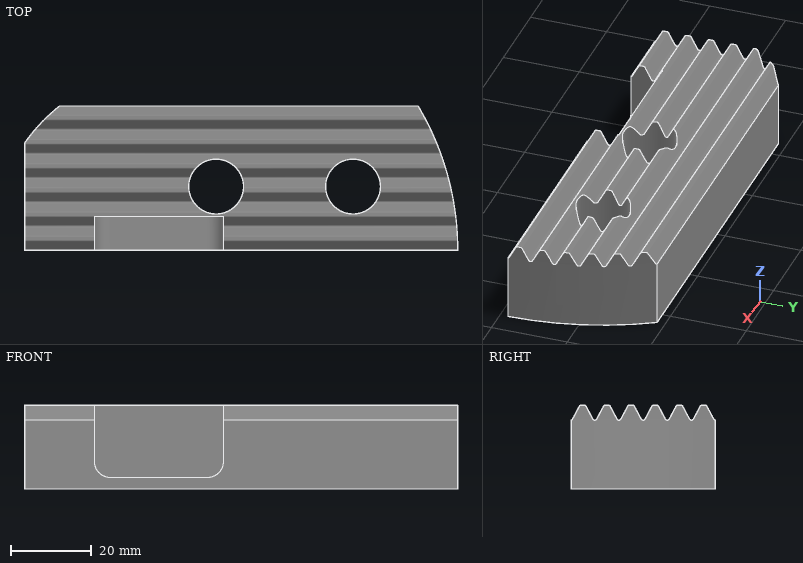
import cadquery as cq
import math

LENGTH = 107.5
WIDTH = 35.8
HEIGHT = 20.9

END_RADIUS = 70.0
END_CENTER_X = LENGTH - END_RADIUS
CORNER_RADIUS = 46.0

TOOTH_COUNT = 6
FRONT_OVERHANG = 0.13
BACK_OVERHANG = 0.06
TOOTH_PITCH = (FRONT_OVERHANG + WIDTH + BACK_OVERHANG) / TOOTH_COUNT
FLANK_ANGLE = math.radians(62)
CREST_WIDTH = 1.4
CREST_ROUND = 0.5
ROOT_ROUND = 0.5

HOLE_DIAMETER = 13.5
HOLE_FIRST_X = 47.5
HOLE_SPACING = 34.0
HOLE_COUNT = 2
HOLE_Y = 15.8

POCKET_X = 17.3
POCKET_LENGTH = 32.0
POCKET_DEPTH = 8.4
POCKET_FLOOR_Z = 2.9
POCKET_CORNER_RADIUS = 4.0


def point_on_circle(radius, angle):
    """Plan point at an angle around the common center of the end arcs."""
    return (END_CENTER_X + radius * math.cos(angle), radius * math.sin(angle))


def make_block():
    """Block with an arc-shaped right end and the back left corner cut by an arc."""
    end_angle = math.asin(WIDTH / END_RADIUS)
    corner_back_angle = math.pi - math.asin(WIDTH / CORNER_RADIUS)
    corner_left_angle = math.acos(-END_CENTER_X / CORNER_RADIUS)
    corner_mid_angle = (corner_back_angle + corner_left_angle) / 2
    return (
        cq.Workplane("XY")
        .lineTo(LENGTH, 0)
        .threePointArc(
            point_on_circle(END_RADIUS, end_angle / 2),
            point_on_circle(END_RADIUS, end_angle),
        )
        .lineTo(*point_on_circle(CORNER_RADIUS, corner_back_angle))
        .threePointArc(
            point_on_circle(CORNER_RADIUS, corner_mid_angle),
            point_on_circle(CORNER_RADIUS, corner_left_angle),
        )
        .close()
        .extrude(HEIGHT)
    )


def make_serrations():
    """Toothed bar whose rounded ridges are intersected with the block."""
    sharp_depth = (TOOTH_PITCH - CREST_WIDTH) / 2 * math.tan(FLANK_ANGLE)
    root_z = HEIGHT - sharp_depth
    bar_start_y = -FRONT_OVERHANG - TOOTH_PITCH
    bar_end_y = WIDTH + BACK_OVERHANG + TOOTH_PITCH
    outline = [(bar_start_y, 0), (bar_start_y, root_z)]
    for tooth in range(TOOTH_COUNT + 2):
        crest_y = bar_start_y + (tooth + 0.5) * TOOTH_PITCH
        outline.append((crest_y - CREST_WIDTH / 2, HEIGHT))
        outline.append((crest_y + CREST_WIDTH / 2, HEIGHT))
        outline.append((crest_y + TOOTH_PITCH / 2, root_z))
    outline.append((bar_end_y, 0))
    bar = cq.Workplane("YZ").polyline(outline).close().extrude(LENGTH)

    margin = TOOTH_PITCH / 4
    crests = cq.selectors.BoxSelector(
        (0, bar_start_y, HEIGHT - margin), (LENGTH, bar_end_y, HEIGHT + margin)
    )
    roots = cq.selectors.BoxSelector(
        (0, bar_start_y + margin, root_z - margin), (LENGTH, bar_end_y - margin, root_z + margin)
    )
    rounded_crests = bar.edges("|X").edges(crests).fillet(CREST_ROUND)
    return rounded_crests.edges("|X").edges(roots).fillet(ROOT_ROUND)


def make_holes():
    """Row of vertical through holes."""
    centers = [(HOLE_FIRST_X + index * HOLE_SPACING, HOLE_Y) for index in range(HOLE_COUNT)]
    return cq.Workplane("XY").pushPoints(centers).circle(HOLE_DIAMETER / 2).extrude(HEIGHT)


def make_pocket():
    """Pocket volume with rounded lower corners."""
    return (
        cq.Workplane("XY")
        .box(POCKET_LENGTH, POCKET_DEPTH, HEIGHT - POCKET_FLOOR_Z, centered=False)
        .edges("|Y and <Z")
        .fillet(POCKET_CORNER_RADIUS)
        .translate((POCKET_X, 0, POCKET_FLOOR_Z))
    )


result = make_block().intersect(make_serrations())
result = result.cut(make_holes()).cut(make_pocket())